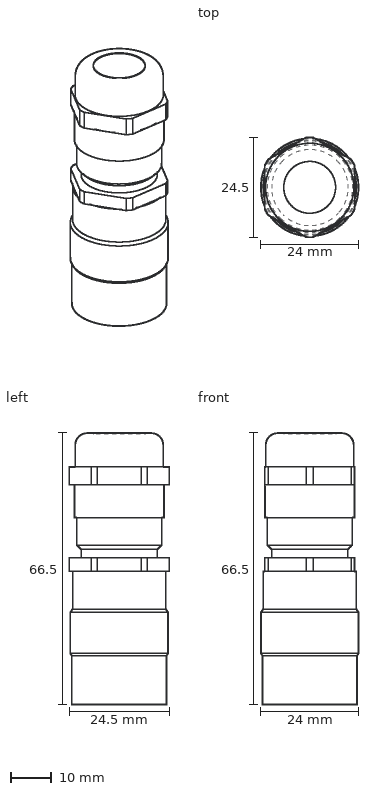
import cadquery as cq

SLEEVE_TOP = 12.0
RING_TOP = 23.4
LOWER_HEX_BOTTOM = 32.6
LOWER_HEX_TOP = 36.0
NECK_TOP = 38.0
UPPER_HEX_BOTTOM = 53.8
UPPER_HEX_TOP = 58.2
TOTAL_HEIGHT = 66.5
COLLAR_BOTTOM = 45.8

SLEEVE_DIAMETER = 23.26
RING_DIAMETER = 24.0
BODY_DIAMETER = 22.85
NECK_DIAMETER = 18.7
BARREL_DIAMETER = 20.85
COLLAR_DIAMETER = 22.0
CAP_DIAMETER = 21.6

HEX_ACROSS_FLATS = 22.0
HEX_CORNER_DIAMETER = 24.5
HEX_SIDES = 6

RING_TOP_CHAMFER_HEIGHT = 0.8
RING_BOTTOM_CHAMFER_HEIGHT = 0.6
CAP_FILLET = 3.0

RECESS_DIAMETER = 12.7
RECESS_DEPTH = 0.2


def cylinder(diameter, bottom, top):
    """Round section about the Z axis."""
    return cq.Workplane("XY").workplane(offset=bottom).circle(diameter / 2).extrude(top - bottom)


def cone(bottom_diameter, top_diameter, bottom, top):
    """Tapered section about the Z axis."""
    height = top - bottom
    solid = cq.Solid.makeCone(bottom_diameter / 2, top_diameter / 2, height, pnt=cq.Vector(0, 0, bottom))
    return cq.Workplane(obj=solid)


def wrench_hex(bottom, top):
    """Hexagon with two corners on the Y axis and all corners turned round."""
    prism = (
        cq.Workplane("XY")
        .workplane(offset=bottom)
        .polygon(HEX_SIDES, HEX_ACROSS_FLATS, circumscribed=True)
        .extrude(top - bottom)
    )
    return prism.intersect(cylinder(HEX_CORNER_DIAMETER, bottom, top))


def ring():
    """Widest band, bevelled down to the sections above and below it."""
    bevel_bottom = RING_TOP - RING_TOP_CHAMFER_HEIGHT
    bevel_top = SLEEVE_TOP + RING_BOTTOM_CHAMFER_HEIGHT
    return (
        cone(SLEEVE_DIAMETER, RING_DIAMETER, SLEEVE_TOP, bevel_top)
        .union(cylinder(RING_DIAMETER, bevel_top, bevel_bottom))
        .union(cone(RING_DIAMETER, BODY_DIAMETER, bevel_bottom, RING_TOP))
    )


def barrel():
    """Upper barrel, tapered at 45 degrees down to the neck."""
    taper_top = NECK_TOP + (BARREL_DIAMETER - NECK_DIAMETER) / 2
    return cone(NECK_DIAMETER, BARREL_DIAMETER, NECK_TOP, taper_top).union(
        cylinder(BARREL_DIAMETER, taper_top, COLLAR_BOTTOM)
    )


def cap():
    """Domed end with a shallow round recess."""
    dome = cylinder(CAP_DIAMETER, UPPER_HEX_TOP, TOTAL_HEIGHT).faces(">Z").edges().fillet(CAP_FILLET)
    return dome.cut(cylinder(RECESS_DIAMETER, TOTAL_HEIGHT - RECESS_DEPTH, TOTAL_HEIGHT))


sections = [
    ring(),
    cylinder(BODY_DIAMETER, RING_TOP, LOWER_HEX_BOTTOM),
    wrench_hex(LOWER_HEX_BOTTOM, LOWER_HEX_TOP),
    cylinder(NECK_DIAMETER, LOWER_HEX_TOP, NECK_TOP),
    barrel(),
    cylinder(COLLAR_DIAMETER, COLLAR_BOTTOM, UPPER_HEX_BOTTOM),
    wrench_hex(UPPER_HEX_BOTTOM, UPPER_HEX_TOP),
    cap(),
]

result = cylinder(SLEEVE_DIAMETER, 0, SLEEVE_TOP)
for section in sections:
    result = result.union(section)